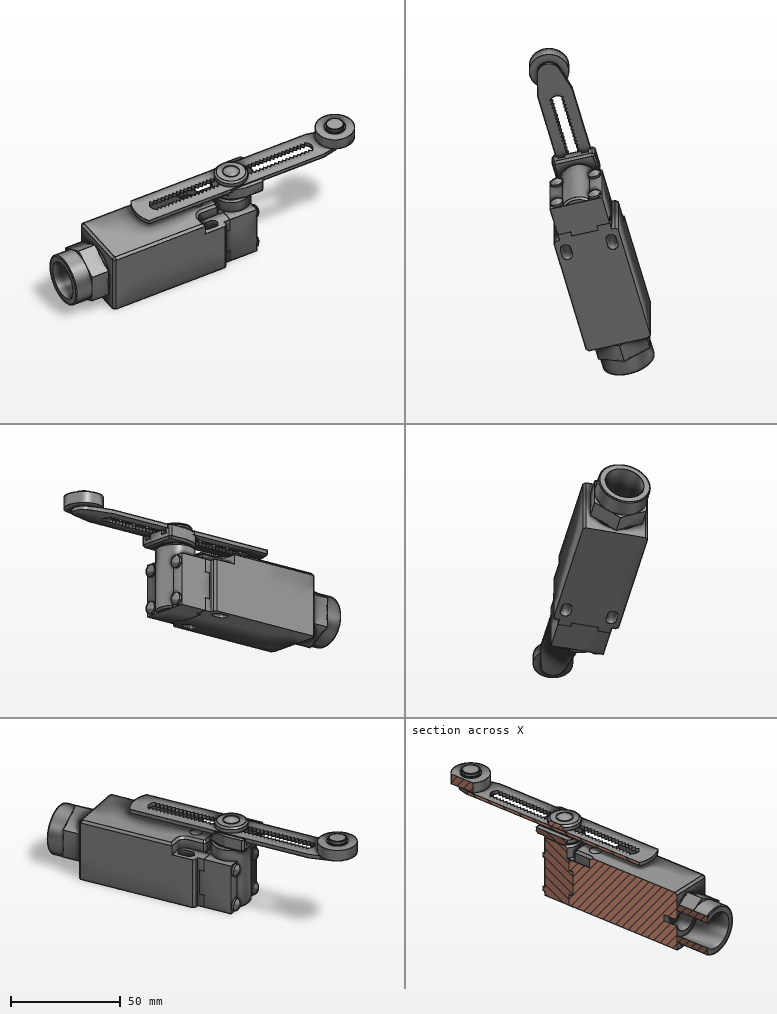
import cadquery as cq
import math


HOUSING_WIDTH = 30.3
HOUSING_HEIGHT = 30.3
HOUSING_FRONT_Y = -71.0
HOUSING_BACK_Y = -10.9
HOUSING_CHAMFER = 1.15
SHELF_Z = 24.6
SHELF_END_Y = -22.5
CENTRE_BLOCK_WIDTH = 12.4
CENTRE_BLOCK_FILLET = 3.5
MOUNT_SLOT_X = 10.7
MOUNT_SLOT_Y = -17.6
MOUNT_SLOT_WIDTH = 4.7
MOUNT_SLOT_LENGTH = 8.0
INDICATOR_Y = -18.2
INDICATOR_RADIUS = 2.9
INDICATOR_ROOT = 0.8
INDICATOR_HEIGHT = 0.6
CABLE_ENTRY_RADIUS = 6.5
CABLE_ENTRY_DEPTH = 7.6

HEAD_WIDTH = 24.5
HEAD_BACK_Y = 6.5
HEAD_FRONT_Y = -10.0
CORNER_TAB_LENGTH = 2.3
CROSS_WIDTH = 12.4
COLLAR_RADIUS = 9.0
COLLAR_BOTTOM_Z = 0.2
COLLAR_TOP_Z = 31.0
COLLAR_CHAMFER = 0.9
SCREW_OFFSET = 8.9
SCREW_RADIUS = 2.9
SCREW_RIM = 1.0
SCREW_DOME = 1.4

GLAND_Z = 14.4
GLAND_NECK_RADIUS = 11.8
GLAND_NECK_LENGTH = 1.0
HEX_ACROSS_FLATS = 24.2
HEX_LENGTH = 8.5
GLAND_END_Y = -89.0
GLAND_SLEEVE_RADIUS = 12.1
GLAND_SLEEVE_CHAMFER = 0.5
GLAND_BORE_RADIUS = 9.0

LEVER_BOTTOM_Z = 36.5
LEVER_THICKNESS = 1.8
LEVER_WIDTH = 16.2
ROLLER_Y = 55.0
LEVER_TIP_RADIUS = 5.4
LEVER_SHOULDER_Y = 44.5
LEVER_TAIL_CORNER_Y = -48.2
LEVER_TAIL_Y = -50.5
SLOT_HALF_LENGTH = 42.7
SLOT_HALF_WIDTH = 3.2
SLOT_TOOTH_HALF_WIDTH = 2.1
LAST_TOOTH_Y = 40.0
TEETH_PER_HALF = 20
ROLLER_RADIUS = 9.0
ROLLER_BOTTOM_Z = 38.7
ROLLER_TOP_Z = 44.0
AXLE_RADIUS = 4.1
AXLE_TOP_Z = 46.0
AXLE_CHAMFER = 0.3
AXLE_COLLAR_RADIUS = 4.9
AXLE_COLLAR_HEIGHT = 0.5

HOLDER_WIDTH = 20.2
HOLDER_BACK_Y = 11.6
HOLDER_SIDE_END_Y = 2.0
HOLDER_NOSE_RADIUS = 9.3
HOLDER_BOTTOM_Z = 31.5
HOLDER_TOP_Z = 38.0
HOLDER_CHAMFER = 1.0
HOLDER_NECK_RADIUS = 8.1
GROOVE_INNER_X = 4.0
GROOVE_OUTER_X = 7.2
GROOVE_FLOOR_Z = 34.5
BOLT_HEAD_RADIUS = 7.6
BOLT_HEAD_HEIGHT = 2.8
BOLT_HEAD_CHAMFER = 0.9
BOLT_DOME_RADIUS = 3.8
BOLT_DOME_RIM = 0.3
BOLT_DOME_HEIGHT = 1.0
BOLT_SHANK_RADIUS = 2.0

LEVER_TOP_Z = LEVER_BOTTOM_Z + LEVER_THICKNESS
HEAD_CENTRE_Z = SHELF_Z / 2


def block(x0, x1, y0, y1, z0, z1):
    """Box given by its limits along X, Y and Z."""
    return cq.Workplane("XY").box(x1 - x0, y1 - y0, z1 - z0, centered=False).translate((x0, y0, z0))


def disc(radius, z0, z1, y=0):
    """Upright cylinder between two heights."""
    return cq.Workplane("XY", origin=(0, y, z0)).circle(radius).extrude(z1 - z0)


def along_y(radius, y0, y1):
    """Cylinder on the gland axis between two places along Y."""
    return cq.Workplane("XZ", origin=(0, y1, GLAND_Z)).circle(radius).extrude(y1 - y0)


def domed_stud(radius, rim, dome):
    """Stud along +Z from the origin: a plain rim topped by a spherical cap."""
    apex = rim + dome
    cap_radius = (radius**2 + dome**2) / (2 * dome)
    half_angle = math.asin(radius / cap_radius) / 2
    cap_mid = (
        cap_radius * math.sin(half_angle),
        apex - cap_radius * (1 - math.cos(half_angle)),
    )
    profile = cq.Workplane("XZ").lineTo(radius, 0).lineTo(radius, rim)
    profile = profile.threePointArc(cap_mid, (0, apex)).close()
    return profile.revolve(360, (0, 0, 0), (0, 1, 0))


def tangent_angle(x, y, radius):
    """Polar angle of the upper tangent point, on a circle about the origin, seen from (x, y)."""
    return math.atan2(y, x) + math.acos(radius / math.hypot(x, y))


def head_corners():
    """The four corners of the head's front face that the housing tabs fill."""
    half = HEAD_WIDTH / 2
    half_cross = CROSS_WIDTH / 2
    tab_y = HEAD_FRONT_Y + CORNER_TAB_LENGTH
    corners = cq.Workplane("XY")
    for x0, x1 in ((-half, -half_cross), (half_cross, half)):
        for z0, z1 in ((0, HEAD_CENTRE_Z - half_cross), (HEAD_CENTRE_Z + half_cross, SHELF_Z)):
            corners = corners.add(block(x0, x1, HEAD_FRONT_Y, tab_y, z0, z1))
    return corners.combine()


def housing_base():
    """Lower part of the housing, up to the shelf, with its narrow end and corner tabs."""
    half = HOUSING_WIDTH / 2
    neck = HEAD_WIDTH / 2
    base = block(-half, half, HOUSING_FRONT_Y, HOUSING_BACK_Y, 0, SHELF_Z)
    base = base.edges("|Z").chamfer(HOUSING_CHAMFER)
    narrow_end = block(-neck, neck, HOUSING_BACK_Y, HEAD_FRONT_Y, 0, SHELF_Z)
    return base.union(narrow_end).union(head_corners())


def housing_top():
    """Upper part of the housing: the full-width cover and the centre block between the shelves."""
    half = HOUSING_WIDTH / 2
    centre = CENTRE_BLOCK_WIDTH / 2
    cover = block(-half, half, HOUSING_FRONT_Y, SHELF_END_Y, SHELF_Z, HOUSING_HEIGHT)
    cover = cover.edges("|Z and <Y").chamfer(HOUSING_CHAMFER)
    centre_block = block(-centre, centre, SHELF_END_Y, HEAD_FRONT_Y, SHELF_Z, HOUSING_HEIGHT)
    centre_block = centre_block.edges("|Z and >Y").chamfer(HOUSING_CHAMFER)
    top = cover.union(centre_block)
    margin = HOUSING_CHAMFER
    inner_corners = cq.selectors.BoxSelector(
        (-centre - margin, SHELF_END_Y - margin, SHELF_Z),
        (centre + margin, SHELF_END_Y + margin, HOUSING_HEIGHT),
    )
    top = top.edges("|Z").edges(inner_corners).fillet(CENTRE_BLOCK_FILLET)
    return top.faces(">Z").chamfer(HOUSING_CHAMFER)


def make_housing():
    slots = (
        cq.Workplane("XY")
        .pushPoints([(-MOUNT_SLOT_X, MOUNT_SLOT_Y), (MOUNT_SLOT_X, MOUNT_SLOT_Y)])
        .slot2D(MOUNT_SLOT_LENGTH, MOUNT_SLOT_WIDTH, 90)
        .extrude(SHELF_Z)
    )
    indicator = domed_stud(INDICATOR_RADIUS, INDICATOR_ROOT, INDICATOR_HEIGHT)
    indicator = indicator.translate((0, INDICATOR_Y, HOUSING_HEIGHT - INDICATOR_ROOT))
    cable_entry = along_y(CABLE_ENTRY_RADIUS, HOUSING_FRONT_Y, HOUSING_FRONT_Y + CABLE_ENTRY_DEPTH)
    return housing_base().union(housing_top()).cut(slots).cut(cable_entry).union(indicator)


def make_head():
    half = HEAD_WIDTH / 2
    head = block(-half, half, HEAD_FRONT_Y, HEAD_BACK_Y, 0, SHELF_Z).cut(head_corners())
    collar = disc(COLLAR_RADIUS, COLLAR_BOTTOM_Z, COLLAR_TOP_Z)
    collar = collar.faces("<Z or >Z").chamfer(COLLAR_CHAMFER)
    head = head.union(collar)
    screw = domed_stud(SCREW_RADIUS, SCREW_RIM, SCREW_DOME).rotate((0, 0, 0), (1, 0, 0), -90)
    for x in (-SCREW_OFFSET, SCREW_OFFSET):
        for z in (HEAD_CENTRE_Z - SCREW_OFFSET, HEAD_CENTRE_Z + SCREW_OFFSET):
            head = head.union(screw.translate((x, HEAD_BACK_Y, z)))
    return head


def make_gland():
    neck_end_y = HOUSING_FRONT_Y - GLAND_NECK_LENGTH
    hex_end_y = neck_end_y - HEX_LENGTH
    across_corners = HEX_ACROSS_FLATS / math.cos(math.pi / 6)
    nut = cq.Workplane("XZ", origin=(0, neck_end_y, GLAND_Z))
    nut = nut.transformed(rotate=(0, 0, 90)).polygon(6, across_corners).extrude(HEX_LENGTH)
    sleeve = along_y(GLAND_SLEEVE_RADIUS, GLAND_END_Y, hex_end_y)
    sleeve = sleeve.faces("<Y").chamfer(GLAND_SLEEVE_CHAMFER)
    neck = along_y(GLAND_NECK_RADIUS, neck_end_y, HOUSING_FRONT_Y)
    bore = along_y(GLAND_BORE_RADIUS, GLAND_END_Y, HOUSING_FRONT_Y)
    return nut.union(sleeve).union(neck).cut(bore)


def lever_outline():
    """Bar with a rounded, tapered tip around the roller axle and a shallow curved tail."""
    half = LEVER_WIDTH / 2
    tip = tangent_angle(half, LEVER_SHOULDER_Y - ROLLER_Y, LEVER_TIP_RADIUS)
    tip_x = LEVER_TIP_RADIUS * math.cos(tip)
    tip_y = ROLLER_Y + LEVER_TIP_RADIUS * math.sin(tip)
    return (
        cq.Workplane("XY", origin=(0, 0, LEVER_BOTTOM_Z))
        .moveTo(half, LEVER_TAIL_CORNER_Y)
        .lineTo(half, LEVER_SHOULDER_Y)
        .lineTo(tip_x, tip_y)
        .threePointArc((0, ROLLER_Y + LEVER_TIP_RADIUS), (-tip_x, tip_y))
        .lineTo(-half, LEVER_SHOULDER_Y)
        .lineTo(-half, LEVER_TAIL_CORNER_Y)
        .threePointArc((0, LEVER_TAIL_Y), (half, LEVER_TAIL_CORNER_Y))
        .close()
    )


def toothed_slot():
    """Slot through the lever; pointed teeth line both long sides."""
    pitch = LAST_TOOTH_Y / TEETH_PER_HALF
    end_y = LAST_TOOTH_Y + pitch / 2
    slot = cq.Workplane("XY", origin=(0, 0, LEVER_BOTTOM_Z)).moveTo(SLOT_HALF_WIDTH, -end_y)
    for side in (1, -1):
        root_x = side * SLOT_HALF_WIDTH
        tip_x = side * SLOT_TOOTH_HALF_WIDTH
        for tooth in range(-TEETH_PER_HALF, TEETH_PER_HALF + 1):
            slot = slot.lineTo(tip_x, side * tooth * pitch)
            slot = slot.lineTo(root_x, side * (tooth + 0.5) * pitch)
        slot = slot.threePointArc((0, side * SLOT_HALF_LENGTH), (-root_x, side * end_y))
    return slot.close().extrude(LEVER_THICKNESS)


def make_lever():
    """Slotted lever with the roller axle fixed in its tip."""
    lever = lever_outline().extrude(LEVER_THICKNESS).cut(toothed_slot())
    axle = disc(AXLE_RADIUS, LEVER_BOTTOM_Z, AXLE_TOP_Z, ROLLER_Y)
    axle = axle.faces(">Z").chamfer(AXLE_CHAMFER)
    spacer = disc(AXLE_COLLAR_RADIUS, LEVER_TOP_Z, ROLLER_BOTTOM_Z, ROLLER_Y)
    retainer = disc(AXLE_COLLAR_RADIUS, ROLLER_TOP_Z, ROLLER_TOP_Z + AXLE_COLLAR_HEIGHT, ROLLER_Y)
    return lever.union(axle).union(spacer).union(retainer)


def make_roller():
    roller = disc(ROLLER_RADIUS, ROLLER_BOTTOM_Z, ROLLER_TOP_Z, ROLLER_Y)
    return roller.cut(disc(AXLE_RADIUS, ROLLER_BOTTOM_Z, ROLLER_TOP_Z, ROLLER_Y))


def make_holder():
    """Block on the shaft that grips the lever in a channel, drilled for the clamp bolt."""
    half = HOLDER_WIDTH / 2
    side = math.pi - tangent_angle(-half, HOLDER_SIDE_END_Y, HOLDER_NOSE_RADIUS)
    nose_x = HOLDER_NOSE_RADIUS * math.cos(side)
    nose_y = HOLDER_NOSE_RADIUS * math.sin(side)
    holder = (
        cq.Workplane("XY", origin=(0, 0, HOLDER_BOTTOM_Z))
        .moveTo(half, HOLDER_BACK_Y)
        .lineTo(half, HOLDER_SIDE_END_Y)
        .lineTo(nose_x, nose_y)
        .threePointArc((0, -HOLDER_NOSE_RADIUS), (-nose_x, nose_y))
        .lineTo(-half, HOLDER_SIDE_END_Y)
        .lineTo(-half, HOLDER_BACK_Y)
        .close()
        .extrude(HOLDER_TOP_Z - HOLDER_BOTTOM_Z)
    )
    holder = holder.edges("|Z and >Y").chamfer(HOLDER_CHAMFER)
    holder = holder.faces("<Z").chamfer(HOLDER_CHAMFER)
    lever_half = LEVER_WIDTH / 2
    reach = HOLDER_BACK_Y
    holder = holder.cut(block(-lever_half, lever_half, -reach, reach, LEVER_BOTTOM_Z, HOLDER_TOP_Z))
    for x0, x1 in ((-GROOVE_OUTER_X, -GROOVE_INNER_X), (GROOVE_INNER_X, GROOVE_OUTER_X)):
        holder = holder.cut(block(x0, x1, -reach, reach, GROOVE_FLOOR_Z, LEVER_BOTTOM_Z))
    neck = disc(HOLDER_NECK_RADIUS, COLLAR_TOP_Z, HOLDER_BOTTOM_Z)
    bolt_hole = disc(BOLT_SHANK_RADIUS, HOLDER_BOTTOM_Z, LEVER_BOTTOM_Z)
    return holder.union(neck).cut(bolt_hole)


def make_bolt():
    head_top_z = LEVER_TOP_Z + BOLT_HEAD_HEIGHT
    head = disc(BOLT_HEAD_RADIUS, LEVER_TOP_Z, head_top_z).faces(">Z").chamfer(BOLT_HEAD_CHAMFER)
    dome = domed_stud(BOLT_DOME_RADIUS, BOLT_DOME_RIM, BOLT_DOME_HEIGHT)
    dome = dome.translate((0, 0, head_top_z))
    shank = disc(BOLT_SHANK_RADIUS, HOLDER_BOTTOM_Z, LEVER_TOP_Z)
    return head.union(dome).union(shank)


housing = make_housing()
head = make_head()
gland = make_gland()
lever = make_lever()
roller = make_roller()
holder = make_holder()
bolt = make_bolt()

result = cq.Compound.makeCompound(
    [
        housing.val(),
        head.val(),
        gland.val(),
        lever.val(),
        roller.val(),
        holder.val(),
        bolt.val(),
    ]
)